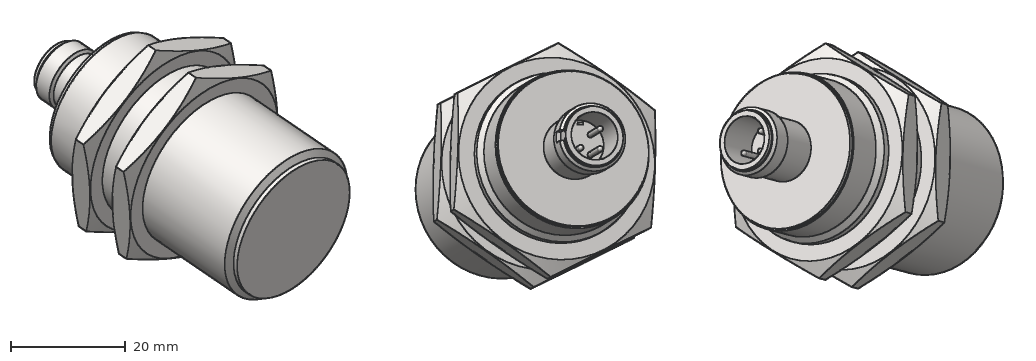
import cadquery as cq


sleeve_start = 13.2
collar_end = 20.0
thread_start = 21.1
thread_end = 57.4
sleeve_end = 58.35
collar_diameter = 28.0
thread_diameter = 30.0

total_length = 59.25
cap_diameter = 27.5

plug_start = 12.5
plug_diameter = 27.45
tip_diameter = 10.5
tip_length = 0.75
ring_diameter = 12.0
ring_chamfer_diameter = 10.9
ring_start = 1.3
ring_end = 4.55
neck_start = 5.05
neck_diameter = 10.9

socket_diameter = 8.5
socket_depth = 8.3
notch_width = 1.9
notch_floor = 5.2
notch_end = 3.15
mark_width = 1.0
mark_bottom = 3.5
mark_height = 0.4
mark_depth = 0.25

pin_diameter = 1.0
pin_tip = 1.9
pin_embedding = 1.8
pin_offset = 1.8
pin_places = [(-pin_offset, pin_offset), (-pin_offset, -pin_offset), (pin_offset, -pin_offset)]

nut_starts = [22.45, 32.45]
nut_thickness = 4.5
nut_across_corners = 41.575
nut_tilt = 1.9
nut_face_diameter = 35.8
nut_corner_chamfer = 1.3


def turned(outline):
    """Solid of revolution about X from (x, radius) points, closed along the axis."""
    points = [(outline[0][0], 0), *outline, (outline[-1][0], 0)]
    return cq.Workplane("XY").polyline(points).close().revolve(360, (0, 0, 0), (1, 0, 0))


def cylinder(start, end, diameter, y=0, z=0):
    """Cylinder parallel to X."""
    return cq.Workplane("YZ", origin=(start, y, z)).circle(diameter / 2).extrude(end - start)


def make_sleeve():
    return turned([
        (sleeve_start, collar_diameter / 2),
        (collar_end, collar_diameter / 2),
        (thread_start, thread_diameter / 2),
        (thread_end, thread_diameter / 2),
        (sleeve_end, cap_diameter / 2),
    ])


def make_sensing_cap():
    return cylinder(sleeve_end, total_length, cap_diameter)


def make_coding_mark():
    """Small wedge-shaped recess in the socket floor, deepest at its lower edge."""
    mark_top = mark_bottom + mark_height
    return (
        cq.Workplane("XZ", origin=(0, mark_width / 2, 0))
        .polyline([
            (socket_depth, mark_bottom),
            (socket_depth, mark_top),
            (socket_depth + mark_depth, mark_bottom),
        ])
        .close()
        .extrude(mark_width)
    )


def make_ring_notch():
    """Axial slot through the ring on the +Y side, closed before the back of the ring."""
    notch_height = ring_diameter / 2
    return cq.Workplane("XY", origin=(0, notch_floor, 0)).box(
        notch_end, notch_height, notch_width, centered=(False, False, True)
    )


def make_pin(y, z):
    """Contact pin with a domed tip."""
    radius = pin_diameter / 2
    dome = cq.Workplane("XY", origin=(pin_tip + radius, y, z)).sphere(radius)
    return cylinder(pin_tip + radius, socket_depth + pin_embedding, pin_diameter, y, z).union(dome)


def make_rear_plug(pins):
    plug = turned([
        (0, tip_diameter / 2),
        (tip_length, tip_diameter / 2),
        (tip_length, ring_chamfer_diameter / 2),
        (ring_start, ring_diameter / 2),
        (ring_end, ring_diameter / 2),
        (neck_start, neck_diameter / 2),
        (plug_start, neck_diameter / 2),
        (plug_start, plug_diameter / 2),
        (sleeve_start, plug_diameter / 2),
    ])
    plug = plug.cut(cylinder(0, socket_depth, socket_diameter))
    plug = plug.cut(make_ring_notch()).cut(make_coding_mark())
    for pin in pins:
        plug = plug.cut(pin)
    return plug


def make_nut(start):
    """Hexagonal nut with both faces chamfered at the corners, bored to fit the thread."""
    end = start + nut_thickness
    face_radius = nut_face_diameter / 2
    corner_radius = nut_across_corners / 2
    hexagon = (
        cq.Workplane("YZ", origin=(start, 0, 0))
        .polygon(6, nut_across_corners)
        .extrude(nut_thickness)
        .rotate((0, 0, 0), (1, 0, 0), 90 + nut_tilt)
    )
    chamfer_envelope = turned([
        (start, face_radius),
        (start + nut_corner_chamfer, corner_radius),
        (end - nut_corner_chamfer, corner_radius),
        (end, face_radius),
    ])
    return hexagon.intersect(chamfer_envelope).cut(cylinder(start, end, thread_diameter))


sleeve = make_sleeve()
sensing_cap = make_sensing_cap()
pins = [make_pin(y, z) for y, z in pin_places]
rear_plug = make_rear_plug(pins)
nuts = [make_nut(start) for start in nut_starts]

result = cq.Compound.makeCompound([
    sleeve.val(),
    sensing_cap.val(),
    rear_plug.val(),
    *[pin.val() for pin in pins],
    *[nut.val() for nut in nuts],
])